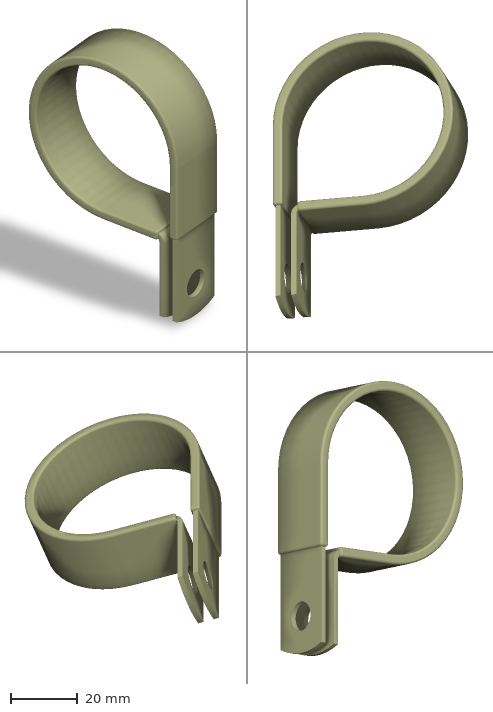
import cadquery as cq
import math

total_height = 84.05
loop_diameter = 55.4
cushion_thickness = 3.0
cushion_width = 20.7
edge_round = 0.75
right_tail_length = 25.2
bottom_tail_length = 20.2

strap_thickness = 1.6
strap_width = 19.0
bent_tab_outer_x = 22.1
bend_inner_radius = 1.4
tip_rise = 2.1
hole_diameter = 8.8
hole_to_tip = 11.2

outer_radius = loop_diameter / 2
mid_radius = outer_radius - cushion_thickness / 2
tip_z = outer_radius - total_height
hole_z = tip_z + hole_to_tip


def loop_band(thickness, width, right_tail, bottom_tail):
    """Three-quarter ring with a tail down the right and a tail along the bottom."""
    outer = mid_radius + thickness / 2
    inner = mid_radius - thickness / 2
    diagonal = math.sqrt(0.5)
    return (
        cq.Workplane("XZ")
        .moveTo(outer, -right_tail)
        .lineTo(outer, 0)
        .threePointArc((-outer * diagonal, outer * diagonal), (0, -outer))
        .lineTo(bottom_tail, -outer)
        .lineTo(bottom_tail, -inner)
        .lineTo(0, -inner)
        .threePointArc((-inner * diagonal, inner * diagonal), (inner, 0))
        .lineTo(inner, -right_tail)
        .close()
        .extrude(width / 2, both=True)
    )


def make_cushion():
    """Loop band with its side rims and both tail ends rounded."""
    band = loop_band(cushion_thickness, cushion_width, right_tail_length, bottom_tail_length)
    rims = band.faces("<Y or >Y").edges()
    right_end = band.faces(cq.NearestToPointSelector((mid_radius, 0, -right_tail_length)))
    bottom_end = band.faces(cq.NearestToPointSelector((bottom_tail_length, 0, -mid_radius)))
    return rims.add(right_end.edges()).add(bottom_end.edges()).fillet(edge_round)


def make_bend(start_x, center_z):
    """Quarter turn and straight leg from the bottom tail to the bent tab's tip."""
    inner = bend_inner_radius
    outer = inner + strap_thickness
    diagonal = math.sqrt(0.5)
    return (
        cq.Workplane("XZ")
        .moveTo(start_x, center_z + outer)
        .threePointArc(
            (start_x + outer * diagonal, center_z + outer * diagonal),
            (start_x + outer, center_z),
        )
        .lineTo(start_x + outer, tip_z)
        .lineTo(start_x + inner, tip_z)
        .lineTo(start_x + inner, center_z)
        .threePointArc(
            (start_x + inner * diagonal, center_z + inner * diagonal),
            (start_x, center_z + inner),
        )
        .close()
        .extrude(strap_width / 2, both=True)
    )


def make_strap():
    """Loop strap with bowed tab tips and a bolt hole through both tabs."""
    bend_start_x = bent_tab_outer_x - strap_thickness - bend_inner_radius
    bend_center_z = -mid_radius - strap_thickness / 2 - bend_inner_radius
    strap = loop_band(strap_thickness, strap_width, -tip_z, bend_start_x)
    strap = strap.union(make_bend(bend_start_x, bend_center_z))

    half_width = strap_width / 2
    envelope = (
        cq.Workplane("YZ")
        .moveTo(-half_width, outer_radius)
        .lineTo(-half_width, tip_z + tip_rise)
        .threePointArc((0, tip_z), (half_width, tip_z + tip_rise))
        .lineTo(half_width, outer_radius)
        .close()
        .extrude(outer_radius, both=True)
    )
    bolt_hole = cq.Workplane("YZ").center(0, hole_z).circle(hole_diameter / 2).extrude(outer_radius)
    return strap.intersect(envelope).cut(bolt_hole)


result = make_cushion().union(make_strap())